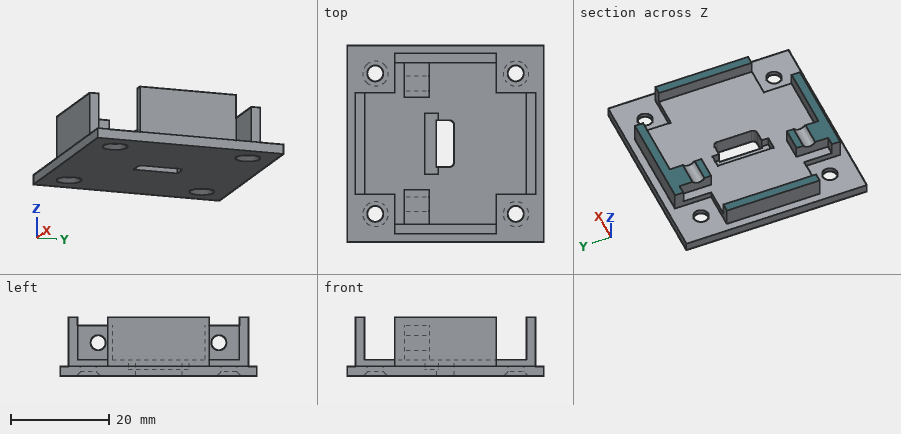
import cadquery as cq
import math

plate_side = 40.0
plate_thickness = 2.0
corner_hole_diameter = 3.2
corner_hole_offset = 14.3
countersink_depth = 0.95
countersink_angle = 90.0

overall_height = 12.0
tray_length = 36.7
arm_width = 20.65
wall_thickness = 1.9
floor_top = 3.35
cavity_length = tray_length - 2 * wall_thickness

block_left = -8.4
block_width = 5.1
block_length = 7.0
block_top = 10.3
screw_hole_diameter = 3.0
screw_hole_offset = 12.3
screw_hole_height = 6.8

window_left = -1.85
window_right = 1.7
window_length = 9.45
window_corner_radius = 0.9
pocket_left = -4.25
pocket_right = -1.45
pocket_length = 12.4
pocket_depth = 1.9


def box_between(left, right, front, back, bottom, top):
    """Box given by its limits along X, Y and Z."""
    return (
        cq.Workplane("XY")
        .box(right - left, back - front, top - bottom, centered=False)
        .translate((left, front, bottom))
    )


def cross(length, bottom, top):
    """Upright cross with two equal arms, centred on the Z axis."""
    half_length = length / 2
    half_arm = arm_width / 2
    arm_x = box_between(-half_length, half_length, -half_arm, half_arm, bottom, top)
    arm_y = box_between(-half_arm, half_arm, -half_length, half_length, bottom, top)
    return arm_x.union(arm_y)


def base_plate():
    """Square plate with corner holes countersunk from the underside."""
    half_side = plate_side / 2
    hole_spacing = 2 * corner_hole_offset
    growth = countersink_depth * math.tan(math.radians(countersink_angle / 2))
    countersink_diameter = corner_hole_diameter + 2 * growth
    return (
        box_between(-half_side, half_side, -half_side, half_side, 0, plate_thickness)
        .faces("<Z")
        .workplane(origin=(0, 0, 0))
        .rarray(hole_spacing, hole_spacing, 2, 2)
        .cskHole(corner_hole_diameter, countersink_diameter, countersink_angle)
    )


def tray():
    """Cross with a wall at each arm end and open inner corners."""
    outer = cross(tray_length, plate_thickness, overall_height)
    half_cavity = cavity_length / 2
    cavity = box_between(
        -half_cavity, half_cavity, -half_cavity, half_cavity, floor_top, overall_height
    )
    return outer.cut(cavity)


def screw_block():
    """Block against the +Y wall, drilled through along X."""
    back = cavity_length / 2
    block = box_between(
        block_left, block_left + block_width, back - block_length, back, floor_top, block_top
    )
    hole = (
        cq.Workplane("YZ", origin=(block_left, 0, 0))
        .center(screw_hole_offset, screw_hole_height)
        .circle(screw_hole_diameter / 2)
        .extrude(block_width)
    )
    return block.cut(hole)


def window():
    """Through opening, rounded at its two +X corners."""
    half_length = window_length / 2
    opening = box_between(window_left, window_right, -half_length, half_length, 0, floor_top)
    return opening.edges("|Z and >X").fillet(window_corner_radius)


def pocket():
    """Blind recess in the floor that overlaps the window."""
    half_length = pocket_length / 2
    return box_between(
        pocket_left, pocket_right, -half_length, half_length, floor_top - pocket_depth, floor_top
    )


back_block = screw_block()
front_block = back_block.mirror("XZ")

result = base_plate().union(tray()).union(back_block).union(front_block)
result = result.cut(window()).cut(pocket())